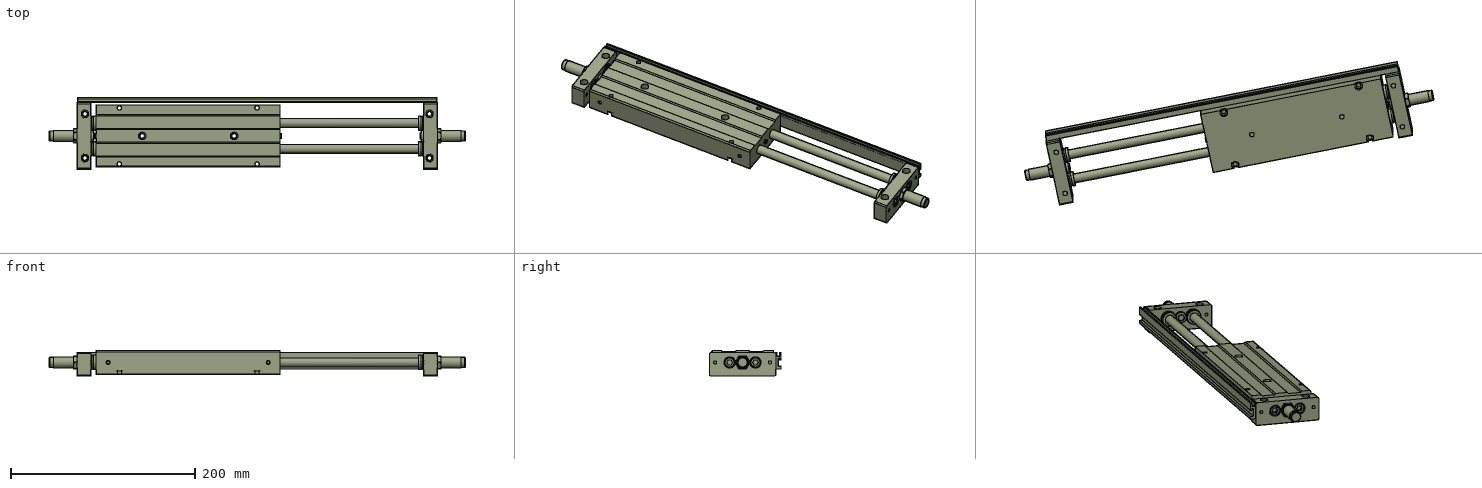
import cadquery as cq
import math


LENGTH = 452.0
FRAME_LENGTH = 391.5
PLATE_THICKNESS = 15.0
PLATE_OUTER_X = FRAME_LENGTH / 2
PLATE_INNER_X = PLATE_OUTER_X - PLATE_THICKNESS

PLATE_HALF_WIDTH = 36.0
PLATE_TOP = 11.0
PLATE_BOTTOM = -15.0
PLATE_CHAMFER = 1.5
PLATE_BOLT_INSET = 8.5
PLATE_BOLT_X = PLATE_OUTER_X - PLATE_BOLT_INSET
PLATE_BOLT_Y = 24.0
PLATE_COUNTERBORE_DEPTH = 9.0
PIN_HOLE_Y = 30.0
PIN_HOLE_DIAMETER = 3.3
PIN_HOLE_DEPTH = 7.0

BOLT_DIAMETER = 5.0
COUNTERBORE_DIAMETER = 8.0

ROD_DIAMETER = 10.0
ROD_Y = 14.0
BUMPER_DIAMETER = 16.0
BUMPER_LENGTH = 6.0
BUMPER_BASE = 1.5
BUMPER_GROOVE_WIDTH = 2.0
BUMPER_GROOVE_DIAMETER = 14.0
SCREW_RECESS_DIAMETER = 12.0
SCREW_RECESS_DEPTH = 7.0
SCREW_HEAD_DIAMETER = 10.0
SCREW_HEAD_HEIGHT = 6.0
SOCKET_WIDTH = 5.5
SOCKET_DEPTH = 3.0

RAIL_DEPTH = 6.0
RAIL_BOTTOM = -7.2
RAIL_INSET = 0.5
RAIL_WEB = 2.5
RAIL_BACK_WALL = 1.5
RAIL_LIP = 2.0
RAIL_LIP_BOTTOM = 2.5
RAIL_LOWER_LEG_TOP = -4.0
RAIL_GROOVE_FLOOR = 7.0
RAIL_UPPER_LEG_BOTTOM = 4.5

CARRIAGE_LENGTH = 200.0
CARRIAGE_HALF_WIDTH = 34.0
CARRIAGE_HALF_HEIGHT = 13.0
CARRIAGE_LEFT = -PLATE_INNER_X + BUMPER_LENGTH
CARRIAGE_MIDDLE_X = CARRIAGE_LEFT + CARRIAGE_LENGTH / 2
CHAMFER_HEIGHT = 2.0
CHAMFER_WIDTH = 1.5
GROOVE_DEPTH = 1.5
GROOVE_INNER_Y = 7.0
GROOVE_OUTER_Y = 23.0
CENTRE_COUNTERBORE_DEPTH = 9.0
MOUNT_PITCH_X = 149.5
MOUNT_DIAMETER = 4.5
MOUNT_EDGE_DISTANCE = 3.4
MOUNT_Y = CARRIAGE_HALF_WIDTH - MOUNT_EDGE_DISTANCE
MOUNT_COUNTERBORE_DEPTH = 4.0
CENTRE_BOLT_PITCH_X = 100.0
SIDE_HOLE_PITCH_X = 174.0
SIDE_HOLE_DIAMETER = 3.3
SIDE_HOLE_COUNTERSINK = 0.5
COUNTERSINK_HALF_ANGLE = 45
SIDE_HOLE_DEPTH = 7.0
STOP_DIAMETER = 5.0
STOP_HEIGHT = 1.5

ABSORBER_DIAMETER = 12.0
ABSORBER_INNER_LENGTH = 2.5
NOSE_DIAMETER = 7.0
NOSE_LENGTH = 1.5
CAP_DIAMETER = 11.5
CAP_LENGTH = 4.5
CAP_CHAMFER = 0.7
NUT_WIDTH = 14.0
NUT_THICKNESS = 4.0
NUT_ROUNDING_DIAMETER = 16.0
NUT_CHAMFER = 1.0


def box(x0, x1, y0, y1, z0, z1):
    """Block between two corners."""
    return cq.Workplane("XY").box(x1 - x0, y1 - y0, z1 - z0, centered=False).translate((x0, y0, z0))


def rod_x(diameter, x0, x1, y=0.0):
    """Round bar along X."""
    return cq.Workplane("YZ", origin=(x0, y, 0)).circle(diameter / 2).extrude(x1 - x0)


def rod_z(diameter, x, y, z0, z1):
    """Round bar along Z."""
    return cq.Workplane("XY", origin=(x, y, z0)).circle(diameter / 2).extrude(z1 - z0)


def hexagon_x(width, x0, x1, y=0.0):
    """Hexagonal bar along X with flats at top and bottom."""
    sides = 6
    corner_diameter = width / math.cos(math.pi / sides)
    return cq.Workplane("YZ", origin=(x0, y, 0)).polygon(sides, corner_diameter).extrude(x1 - x0)


def mirrored_x(right_half):
    return right_half.union(right_half.mirror("YZ"))


def make_end_plate():
    """Right-hand end plate with its holes, rod bumpers and rod screws."""
    plate = box(PLATE_INNER_X, PLATE_OUTER_X, -PLATE_HALF_WIDTH, PLATE_HALF_WIDTH, PLATE_BOTTOM, PLATE_TOP)
    plate = plate.edges("|X").chamfer(PLATE_CHAMFER)
    plate = plate.cut(rod_x(ABSORBER_DIAMETER, PLATE_INNER_X, PLATE_OUTER_X))
    for side in (-1, 1):
        bolt_y = side * PLATE_BOLT_Y
        plate = plate.cut(rod_z(BOLT_DIAMETER, PLATE_BOLT_X, bolt_y, PLATE_BOTTOM, PLATE_TOP))
        plate = plate.cut(
            rod_z(COUNTERBORE_DIAMETER, PLATE_BOLT_X, bolt_y, PLATE_TOP - PLATE_COUNTERBORE_DEPTH, PLATE_TOP)
        )
        pin_y = side * PIN_HOLE_Y
        plate = plate.cut(rod_x(PIN_HOLE_DIAMETER, PLATE_OUTER_X - PIN_HOLE_DEPTH, PLATE_OUTER_X, pin_y))
        plate = plate.cut(rod_x(PIN_HOLE_DIAMETER, PLATE_INNER_X, PLATE_INNER_X + PIN_HOLE_DEPTH, pin_y))
        plate = add_rod_screw(plate, side * ROD_Y)
        plate = plate.union(make_bumper(side * ROD_Y))
    return plate


def add_rod_screw(plate, y):
    """Recess in the outer face with a socket head standing in it."""
    recess_floor = PLATE_OUTER_X - SCREW_RECESS_DEPTH
    head_top = recess_floor + SCREW_HEAD_HEIGHT
    recess = rod_x(SCREW_RECESS_DIAMETER, recess_floor, PLATE_OUTER_X, y)
    head = rod_x(SCREW_HEAD_DIAMETER, recess_floor, head_top, y)
    socket = hexagon_x(SOCKET_WIDTH, head_top - SOCKET_DEPTH, head_top, y)
    return plate.cut(recess).union(head.cut(socket))


def make_bumper(y):
    """Grooved disc round a rod on the inner face of the end plate."""
    tip_x = PLATE_INNER_X - BUMPER_LENGTH
    groove_right = PLATE_INNER_X - BUMPER_BASE
    groove_left = groove_right - BUMPER_GROOVE_WIDTH
    bumper = rod_x(BUMPER_DIAMETER, groove_right, PLATE_INNER_X, y)
    bumper = bumper.union(rod_x(BUMPER_GROOVE_DIAMETER, groove_left, groove_right, y))
    bumper = bumper.union(rod_x(BUMPER_DIAMETER, tip_x, groove_left, y))
    return bumper.cut(rod_x(ABSORBER_DIAMETER, tip_x, PLATE_INNER_X))


def make_rail():
    """Sensor rail: a channel open to +Y with a groove along its top."""
    back = PLATE_HALF_WIDTH
    front = back + RAIL_DEPTH
    web_front = back + RAIL_WEB
    groove_back = back + RAIL_BACK_WALL
    lip_back = front - RAIL_LIP
    profile = [
        (back, RAIL_BOTTOM),
        (front, RAIL_BOTTOM),
        (front, RAIL_LOWER_LEG_TOP),
        (web_front, RAIL_LOWER_LEG_TOP),
        (web_front, RAIL_UPPER_LEG_BOTTOM),
        (lip_back, RAIL_UPPER_LEG_BOTTOM),
        (lip_back, RAIL_LIP_BOTTOM),
        (front, RAIL_LIP_BOTTOM),
        (front, PLATE_TOP),
        (lip_back, PLATE_TOP),
        (lip_back, RAIL_GROOVE_FLOOR),
        (groove_back, RAIL_GROOVE_FLOOR),
        (groove_back, PLATE_TOP),
        (back, PLATE_TOP),
    ]
    end_x = PLATE_OUTER_X - RAIL_INSET
    return cq.Workplane("YZ", origin=(-end_x, 0, 0)).polyline(profile).close().extrude(2 * end_x)


def make_frame():
    """Both end plates joined by the guide rods and the sensor rail."""
    frame = mirrored_x(make_end_plate()).union(make_rail())
    for side in (-1, 1):
        frame = frame.union(rod_x(ROD_DIAMETER, -PLATE_INNER_X, PLATE_INNER_X, side * ROD_Y))
    return frame


def make_top_groove():
    """Shallow trough along the carriage top with walls sloping at 45 degrees."""
    top = CARRIAGE_HALF_HEIGHT
    profile = [
        (GROOVE_INNER_Y, top),
        (GROOVE_INNER_Y + GROOVE_DEPTH, top - GROOVE_DEPTH),
        (GROOVE_OUTER_Y - GROOVE_DEPTH, top - GROOVE_DEPTH),
        (GROOVE_OUTER_Y, top),
    ]
    return cq.Workplane("YZ", origin=(CARRIAGE_LEFT, 0, 0)).polyline(profile).close().extrude(CARRIAGE_LENGTH)


def make_carriage():
    """Sliding block with raised strips on top, bored for the guide rods."""
    right = CARRIAGE_LEFT + CARRIAGE_LENGTH
    top = CARRIAGE_HALF_HEIGHT
    bottom = -CARRIAGE_HALF_HEIGHT
    carriage = box(CARRIAGE_LEFT, right, -CARRIAGE_HALF_WIDTH, CARRIAGE_HALF_WIDTH, bottom, top)
    carriage = carriage.edges("|X and >Z and <Y").chamfer(CHAMFER_HEIGHT, CHAMFER_WIDTH)
    groove = make_top_groove()
    carriage = carriage.cut(groove).cut(groove.mirror("XZ"))
    for side in (-1, 1):
        carriage = carriage.cut(rod_x(ROD_DIAMETER, CARRIAGE_LEFT, right, side * ROD_Y))

        mount_x = CARRIAGE_MIDDLE_X + side * MOUNT_PITCH_X / 2
        for y in (-MOUNT_Y, MOUNT_Y):
            carriage = carriage.cut(rod_z(MOUNT_DIAMETER, mount_x, y, bottom, top))
            carriage = carriage.cut(
                rod_z(COUNTERBORE_DIAMETER, mount_x, y, bottom, bottom + MOUNT_COUNTERBORE_DEPTH)
            )

        bolt_x = CARRIAGE_MIDDLE_X + side * CENTRE_BOLT_PITCH_X / 2
        carriage = carriage.cut(rod_z(BOLT_DIAMETER, bolt_x, 0, bottom, top))
        carriage = carriage.cut(rod_z(COUNTERBORE_DIAMETER, bolt_x, 0, top - CENTRE_COUNTERBORE_DEPTH, top))

        hole_x = CARRIAGE_MIDDLE_X + side * SIDE_HOLE_PITCH_X / 2
        side_hole = cq.Workplane("XZ", origin=(hole_x, -CARRIAGE_HALF_WIDTH, 0))
        side_hole = side_hole.circle(SIDE_HOLE_DIAMETER / 2).extrude(-SIDE_HOLE_DEPTH)
        countersink = cq.Workplane("XZ", origin=(hole_x, -CARRIAGE_HALF_WIDTH, 0))
        countersink = countersink.circle(SIDE_HOLE_DIAMETER / 2 + SIDE_HOLE_COUNTERSINK)
        countersink = countersink.extrude(-SIDE_HOLE_COUNTERSINK, taper=COUNTERSINK_HALF_ANGLE)
        carriage = carriage.cut(side_hole).cut(countersink)

    carriage = carriage.union(rod_x(STOP_DIAMETER, CARRIAGE_LEFT - STOP_HEIGHT, CARRIAGE_LEFT))
    return carriage.union(rod_x(STOP_DIAMETER, right, right + STOP_HEIGHT))


def make_absorber(side):
    """Shock absorber with its lock nut, for the right (side = 1) or left (side = -1) end plate."""
    tip_x = LENGTH / 2
    cap_x = tip_x - CAP_LENGTH
    inner_x = PLATE_INNER_X - ABSORBER_INNER_LENGTH
    nut_x = PLATE_OUTER_X + NUT_THICKNESS
    absorber = rod_x(ABSORBER_DIAMETER, inner_x, cap_x)
    absorber = absorber.union(rod_x(NOSE_DIAMETER, inner_x - NOSE_LENGTH, inner_x))
    cap = rod_x(CAP_DIAMETER, cap_x, tip_x).faces(">X").chamfer(CAP_CHAMFER)
    nut = hexagon_x(NUT_WIDTH, PLATE_OUTER_X, nut_x)
    rounding = rod_x(NUT_ROUNDING_DIAMETER, PLATE_OUTER_X, nut_x).faces(">X").chamfer(NUT_CHAMFER)
    absorber = absorber.union(cap).union(nut.intersect(rounding))
    return absorber if side > 0 else absorber.mirror("YZ")


frame = make_frame()
carriage = make_carriage()
absorbers = [make_absorber(side) for side in (-1, 1)]

result = cq.Compound.makeCompound(
    [frame.val(), carriage.val(), *[absorber.val() for absorber in absorbers]]
)